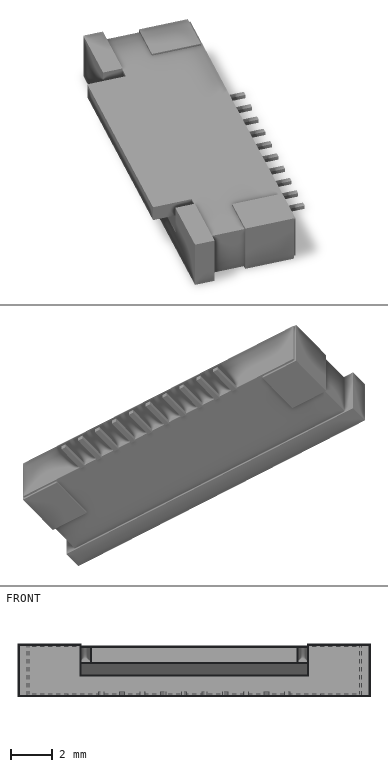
import cadquery as cq


body_width = 16.0
body_length = 4.3
standoff = 0.1
total_height = 2.5
body_top = total_height - standoff

flange_width = 17.0
flange_thickness = 1.0
flange_back = -body_length
flange_front = flange_back - flange_thickness

slot_width = 11.0
slot_floor = 1.0
back_wall = 1.0

tongue_width = 10.0
tongue_overhang = 0.97
tongue_bottom = 1.6
tongue_front = flange_front - tongue_overhang

tab_width = 2.0
tab_length = 2.5
tab_side_offset = 0.1
tab_rear_inset = 0.1
tab_center_x = body_width / 2 + tab_side_offset - tab_width / 2

pin_count = 10
pin_pitch = 1.0
pin_width = 0.25
pin_thickness = 0.2
pin_length = 1.6


def block(center_x, width, y_range, z_range):
    """Box centred on center_x that fills the given Y and Z ranges."""
    y_min, y_max = y_range
    z_min, z_max = z_range
    box = cq.Workplane("XY").box(width, y_max - y_min, z_max - z_min, centered=(True, False, False))
    return box.translate((center_x, y_min, z_min))


def make_housing():
    """Housing with its flange, cut by the cable slot and the notch above it."""
    body = block(0, body_width, (flange_back, 0), (standoff, body_top))
    flange = block(0, flange_width, (flange_front, flange_back), (0, total_height))
    notch = block(0, slot_width, (flange_front, flange_back), (slot_floor, total_height))
    slot = block(0, slot_width, (flange_back, -back_wall), (slot_floor, tongue_bottom))
    return body.union(flange).cut(notch).cut(slot)


def make_tongue():
    return block(0, tongue_width, (tongue_front, flange_back), (tongue_bottom, body_top))


def make_tab(side):
    """Full-height solder tab; side is -1 for the -X end and 1 for the +X end."""
    tab_back = -tab_rear_inset
    return block(side * tab_center_x, tab_width, (tab_back - tab_length, tab_back), (0, total_height))


def make_pin(index):
    pin_x = (index - (pin_count - 1) / 2) * pin_pitch
    return block(pin_x, pin_width, (0, pin_length), (0, pin_thickness))


result = make_housing().union(make_tongue())
for side in (-1, 1):
    result = result.union(make_tab(side))
for index in range(pin_count):
    result = result.union(make_pin(index))